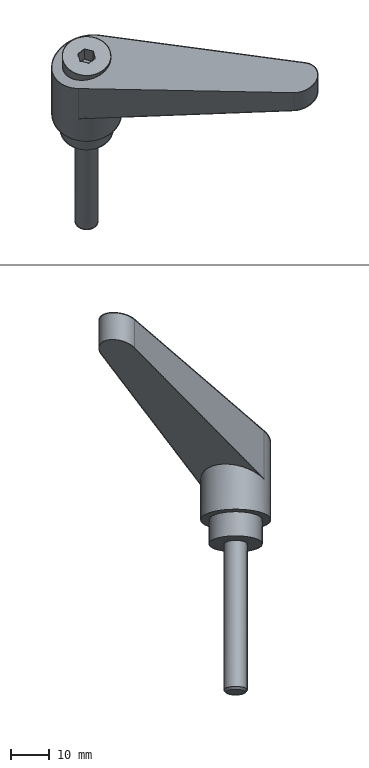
import cadquery as cq
import math

total_height = 85.7
total_length = 71.0

stud_diameter = 6.0
stud_chamfer = 0.6
collar_diameter = 13.7
collar_bottom = 40.0
hub_radius = 9.0
hub_bottom = 46.5

lever_tip_radius = 5.05
lever_top_at_hub = 66.2
lever_tip_bottom = 78.4
lever_root_bottom = 55.85

head_diameter = 12.5
head_top = 71.1
hex_across_flats = 4.0
hex_depth = 4.3
socket_cone_angle = 120.0

hub_edge_x = -hub_radius
tip_x = total_length - hub_radius
tip_center_x = tip_x - lever_tip_radius

side_angle = math.asin((hub_radius - lever_tip_radius) / tip_center_x)


def tangent_point(center_x, radius):
    """Point where the +Y straight side touches an arc centred on the X axis."""
    return center_x + radius * math.sin(side_angle), radius * math.cos(side_angle)


def cylinder(diameter, bottom, top):
    return cq.Workplane("XY").workplane(offset=bottom).circle(diameter / 2).extrude(top - bottom)


root_x, root_y = tangent_point(0, hub_radius)
tip_start_x, tip_start_y = tangent_point(tip_center_x, lever_tip_radius)
plan = (
    cq.Workplane("XY")
    .moveTo(root_x, root_y)
    .lineTo(tip_start_x, tip_start_y)
    .threePointArc((tip_x, 0), (tip_start_x, -tip_start_y))
    .lineTo(root_x, -root_y)
    .close()
    .extrude(total_height)
)

top_slope = (total_height - lever_top_at_hub) / total_length
root_top = lever_top_at_hub + top_slope * (root_x - hub_edge_x)
lever_profile = (
    cq.Workplane("XZ")
    .moveTo(root_x, lever_root_bottom)
    .lineTo(tip_x, lever_tip_bottom)
    .lineTo(tip_x, total_height)
    .lineTo(root_x, root_top)
    .close()
    .extrude(hub_radius, both=True)
)
lever = plan.intersect(lever_profile)

hub_top = lever_top_at_hub + top_slope * 2 * hub_radius
hub_profile = (
    cq.Workplane("XZ")
    .moveTo(hub_edge_x, hub_bottom)
    .lineTo(hub_radius, hub_bottom)
    .lineTo(hub_radius, hub_top)
    .lineTo(hub_edge_x, lever_top_at_hub)
    .close()
    .extrude(hub_radius, both=True)
)
hub = cylinder(2 * hub_radius, hub_bottom, total_height).intersect(hub_profile)

collar = cylinder(collar_diameter, collar_bottom, hub_bottom)
stud = cylinder(stud_diameter, 0, collar_bottom).faces("<Z").chamfer(stud_chamfer)
head = cylinder(head_diameter, hub_bottom, head_top)

hex_corner_radius = hex_across_flats / 2 / math.cos(math.pi / 6)
cone_depth = hex_corner_radius / math.tan(math.radians(socket_cone_angle / 2))
socket_corner_z = head_top - hex_depth
socket_tip_z = socket_corner_z - cone_depth
hexagon = (
    cq.Workplane("XY")
    .workplane(offset=socket_tip_z)
    .polygon(6, 2 * hex_corner_radius)
    .extrude(hex_depth + cone_depth)
)
drill_point = (
    cq.Workplane("XZ")
    .moveTo(0, socket_tip_z)
    .lineTo(hex_corner_radius, socket_corner_z)
    .lineTo(hex_corner_radius, head_top)
    .lineTo(0, head_top)
    .close()
    .revolve(360, (0, 0, 0), (0, 1, 0))
)
socket = hexagon.intersect(drill_point)

result = lever.union(hub).union(collar).union(stud).union(head).cut(socket)